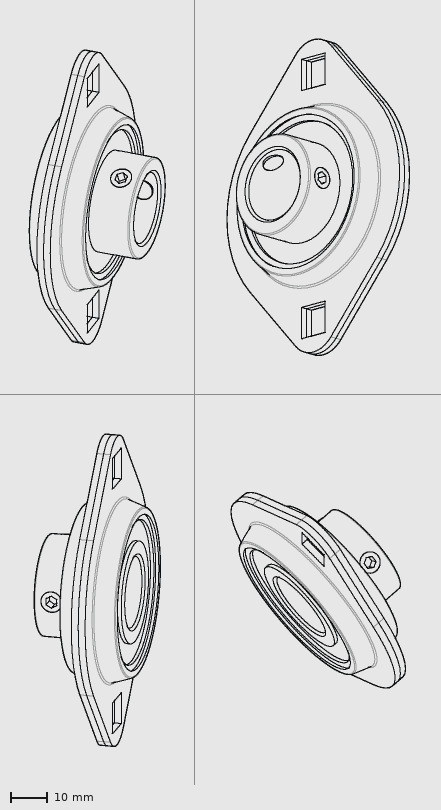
import cadquery as cq
import math


flange_half_height = 45.0
flange_half_width = 33.5
bolt_offset = 35.7
bolt_square = 9.0
plate_thickness = 2.0
housing_half_width = 8.0
dome_root_radius = 25.7
dome_end_radius = 23.8
rim_bore_radius = 21.8
dome_root_fillet = 0.5
dome_end_fillet = 0.4
tip_radius = flange_half_height - bolt_offset
seat_radius = math.hypot(rim_bore_radius, housing_half_width)
seat_mid_angle = math.atan2(housing_half_width, rim_bore_radius) / 2
selection_margin = 0.1

bearing_end = 18.0
outer_ring_recess = 1.0
seal_recess = 1.0
seal_radius = 20.25
inner_ring_protrusion = 1.1
inner_ring_radius = 14.3
bore_radius = 10.0
bore_chamfer = 0.7
collar_edge_fillet = 0.4
outer_ring_half_width = housing_half_width - outer_ring_recess
seal_half_width = outer_ring_half_width - seal_recess
inner_ring_end = seal_half_width + inner_ring_protrusion
outer_ring_edge_radius = math.sqrt(seat_radius**2 - outer_ring_half_width**2)

screw_x = 13.0
screw_radius = 3.0
screw_length = 4.95
screw_head_distance = 14.2
screw_tip_distance = screw_head_distance - screw_length
socket_width = 3.1
socket_depth = 3.5
screw_angles = (0, 120)


def flange_outline():
    """Closed rhombic outline in the YZ plane: two wide arcs and two tip arcs joined by tangent lines."""
    cos_tangent = (flange_half_width - tip_radius) / bolt_offset
    sin_tangent = math.sqrt(1 - cos_tangent**2)
    wide_y = flange_half_width * sin_tangent
    wide_z = flange_half_width * cos_tangent
    tip_y = tip_radius * sin_tangent
    tip_z = bolt_offset + tip_radius * cos_tangent
    return (
        cq.Workplane("YZ")
        .moveTo(wide_y, -wide_z)
        .threePointArc((flange_half_width, 0), (wide_y, wide_z))
        .lineTo(tip_y, tip_z)
        .threePointArc((0, flange_half_height), (-tip_y, tip_z))
        .lineTo(-wide_y, wide_z)
        .threePointArc((-flange_half_width, 0), (-wide_y, -wide_z))
        .lineTo(-tip_y, -tip_z)
        .threePointArc((0, -flange_half_height), (tip_y, -tip_z))
        .close()
    )


def dome_ring():
    """Conical dome of the +X housing half, open at its end, with half of the spherical bearing seat inside."""
    profile = (
        cq.Workplane("XY")
        .moveTo(0, -seat_radius)
        .lineTo(0, -dome_root_radius)
        .lineTo(plate_thickness, -dome_root_radius)
        .lineTo(housing_half_width, -dome_end_radius)
        .lineTo(housing_half_width, -rim_bore_radius)
        .threePointArc(
            (seat_radius * math.sin(seat_mid_angle), -seat_radius * math.cos(seat_mid_angle)),
            (0, -seat_radius),
        )
        .close()
    )
    return profile.revolve(360, (0, 0, 0), (1, 0, 0))


def circle_at(x, radius):
    """Selector of the circular edge about the bearing axis at a given X and radius."""

    def edges_within(reach):
        low_corner = (x - selection_margin, -reach, -reach)
        high_corner = (x + selection_margin, reach, reach)
        return cq.selectors.BoxSelector(low_corner, high_corner, boundingbox=True)

    return edges_within(radius + selection_margin) - edges_within(radius - selection_margin)


def make_housing_half():
    """Housing half on the +X side: flat flange with square bolt holes, and the dome."""
    flange = flange_outline().circle(dome_root_radius).extrude(plate_thickness)
    bolt_holes = (
        cq.Workplane("YZ")
        .pushPoints([(0, bolt_offset), (0, -bolt_offset)])
        .rect(bolt_square, bolt_square)
        .extrude(plate_thickness)
    )
    half = flange.cut(bolt_holes).union(dome_ring())
    half = half.edges(circle_at(plate_thickness, dome_root_radius)).fillet(dome_root_fillet)
    return half.edges(circle_at(housing_half_width, dome_end_radius)).fillet(dome_end_fillet)


def make_bearing():
    """Bearing insert: spherical outer ring, recessed seals, inner ring and locking collar."""
    bearing = (
        cq.Workplane("XY")
        .moveTo(-inner_ring_end, bore_radius + bore_chamfer)
        .lineTo(-inner_ring_end, inner_ring_radius)
        .lineTo(-seal_half_width, inner_ring_radius)
        .lineTo(-seal_half_width, seal_radius)
        .lineTo(-outer_ring_half_width, seal_radius)
        .lineTo(-outer_ring_half_width, outer_ring_edge_radius)
        .threePointArc((0, seat_radius), (outer_ring_half_width, outer_ring_edge_radius))
        .lineTo(outer_ring_half_width, seal_radius)
        .lineTo(seal_half_width, seal_radius)
        .lineTo(seal_half_width, inner_ring_radius)
        .lineTo(bearing_end - collar_edge_fillet, inner_ring_radius)
        .radiusArc((bearing_end, inner_ring_radius - collar_edge_fillet), collar_edge_fillet)
        .lineTo(bearing_end, bore_radius + bore_chamfer)
        .lineTo(bearing_end - bore_chamfer, bore_radius)
        .lineTo(bore_chamfer - inner_ring_end, bore_radius)
        .close()
        .revolve(360, (0, 0, 0), (1, 0, 0))
    )
    for angle in screw_angles:
        bearing = bearing.cut(screw_hole(angle))
    return bearing


def radial_plane(angle, distance):
    """Workplane on a set-screw axis at a distance from the bearing axis, facing outwards."""
    direction = cq.Vector(0, math.cos(math.radians(angle)), math.sin(math.radians(angle)))
    origin = cq.Vector(screw_x, 0, 0) + direction * distance
    return cq.Workplane(cq.Plane(origin=origin, xDir=(1, 0, 0), normal=direction))


def screw_hole(angle):
    """Cutter for the radial hole from the bore to the outside of the collar."""
    return radial_plane(angle, 0).circle(screw_radius).extrude(inner_ring_radius)


def make_set_screw(angle):
    """Headless set screw with a hexagon socket that has two flats facing along X."""
    body = radial_plane(angle, screw_tip_distance).circle(screw_radius).extrude(screw_length)
    socket = (
        radial_plane(angle, screw_head_distance)
        .polygon(6, socket_width, circumscribed=True)
        .extrude(-socket_depth)
    )
    return body.cut(socket)


housing_right = make_housing_half()
housing_left = housing_right.mirror("YZ")
bearing = make_bearing()
set_screws = [make_set_screw(angle) for angle in screw_angles]

result = cq.Compound.makeCompound([
    housing_left.val(),
    housing_right.val(),
    bearing.val(),
    *[screw.val() for screw in set_screws],
])